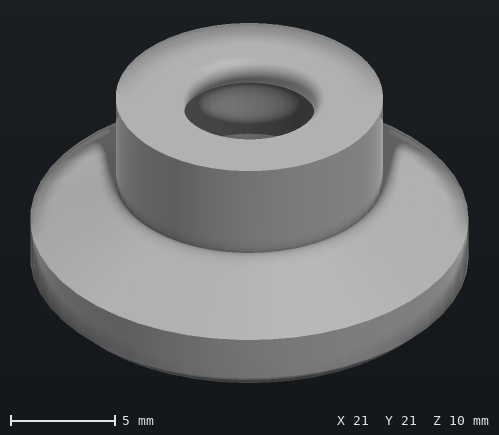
import cadquery as cq
import math

flange_radius = 10.5
total_height = 10.0
bottom_chamfer = 0.8
flange_top = 3.0
shoulder_top = 5.3
neck_radius = 6.4

mouth_radius = 3.1
bead_radius = 0.8
bore_radius = mouth_radius + bead_radius
bore_depth = 4.7
drill_point_angle = 118.0
bore_floor = total_height - bore_depth
drill_tip = bore_floor - bore_radius / math.tan(math.radians(drill_point_angle / 2))

half_section = (
    cq.Workplane("XZ")
    .lineTo(flange_radius - bottom_chamfer, 0)
    .lineTo(flange_radius, bottom_chamfer)
    .lineTo(flange_radius, flange_top)
    .lineTo(neck_radius, shoulder_top)
    .lineTo(neck_radius, total_height)
    .lineTo(bore_radius, total_height)
    .threePointArc(
        (mouth_radius, total_height - bead_radius),
        (bore_radius, total_height - 2 * bead_radius),
    )
    .lineTo(bore_radius, bore_floor)
    .lineTo(0, drill_tip)
    .close()
)

result = half_section.revolve(360, (0, 0, 0), (0, 1, 0))